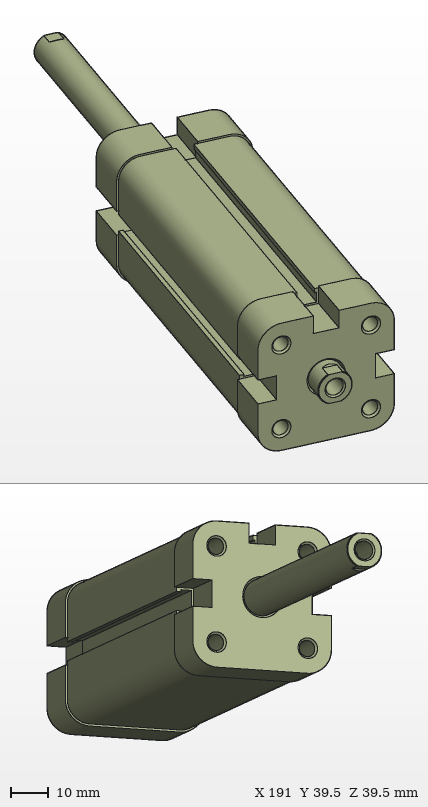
import cadquery as cq
import math

LENGTH = 191.0
ROD_FRONT_REACH = 76.2
CAP_LENGTH = 13.8
TUBE_LENGTH = 81.2

FRONT_CAP_X = ROD_FRONT_REACH
TUBE_X = FRONT_CAP_X + CAP_LENGTH
REAR_CAP_X = TUBE_X + TUBE_LENGTH
REAR_CAP_END_X = REAR_CAP_X + CAP_LENGTH

CAP_SIZE = 39.5
CAP_CORNER_RADIUS = 6.9
TUBE_INSET = 0.5
TUBE_SIZE = CAP_SIZE - 2 * TUBE_INSET
TUBE_CORNER_RADIUS = CAP_CORNER_RADIUS - TUBE_INSET

SCREW_HOLE_DIAMETER = 4.4
SCREW_HOLE_COUNTERSINK = 0.5
SCREW_HOLE_OFFSET = 13.0

CAP_SLOT_WIDTH = 7.5
CAP_SLOT_FLOOR = 14.3
TUBE_SLOT_WIDTH = 6.3
TUBE_SLOT_FLOOR = 14.9
TUBE_SLOT_MOUTH = 5.2
TUBE_SLOT_LIP = 1.3
SLOT_ANGLES = (-90, 0, 90)

ROD_DIAMETER = 10.0
ROD_RADIUS = ROD_DIAMETER / 2
FLAT_ACROSS = 9.0
FLAT_LENGTH = 3.8
FLAT_RUNOUT = (ROD_DIAMETER - FLAT_ACROSS) / 2
ROD_CHAMFER = 0.2
THREAD_HOLE_DIAMETER = 5.0
THREAD_HOLE_COUNTERSINK = 0.48
THREAD_HOLE_DEPTH = 11.5
DRILL_POINT_ANGLE = 118
BORE_COUNTERSINK = 0.5


def profile_bar(size, corner_radius, x_start, length):
    """Round-cornered square bar along X with its rod bore and four screw holes."""
    bar = cq.Workplane("YZ", origin=(x_start, 0, 0)).rect(size, size).extrude(length)
    bar = bar.edges("|X").fillet(corner_radius)
    bore = cq.Workplane("YZ", origin=(x_start, 0, 0)).circle(ROD_RADIUS).extrude(length)
    screw_holes = (
        cq.Workplane("YZ", origin=(x_start, 0, 0))
        .rect(2 * SCREW_HOLE_OFFSET, 2 * SCREW_HOLE_OFFSET, forConstruction=True)
        .vertices()
        .circle(SCREW_HOLE_DIAMETER / 2)
        .extrude(length)
    )
    return bar.cut(bore).cut(screw_holes)


def groove(width, z_bottom, z_top, x_start, length):
    """Straight-sided cutter along X, centred above the rod axis."""
    base = cq.Workplane("XY", origin=(x_start, 0, z_bottom))
    return base.box(length, width, z_top - z_bottom, centered=(False, True, False))


def cut_slots(bar, slot):
    """Cut the slot into the top and both sides of a bar."""
    for angle in SLOT_ANGLES:
        bar = bar.cut(slot.rotate((0, 0, 0), (1, 0, 0), angle))
    return bar


def countersink(hole_radius, depth, face_x, inward, y=0, z=0):
    """45 degree cone widening a hole where it opens on the face at face_x."""
    cone = cq.Solid.makeCone(
        hole_radius + depth, hole_radius, depth, cq.Vector(face_x, y, z), cq.Vector(inward, 0, 0)
    )
    return cq.Workplane(cone)


def make_cap(x_start, outer_x, inward):
    """End cap whose bore and screw holes are countersunk on the outer face at outer_x."""
    cap = profile_bar(CAP_SIZE, CAP_CORNER_RADIUS, x_start, CAP_LENGTH)
    cap = cut_slots(cap, groove(CAP_SLOT_WIDTH, CAP_SLOT_FLOOR, CAP_SIZE / 2, x_start, CAP_LENGTH))
    cap = cap.cut(countersink(ROD_RADIUS, BORE_COUNTERSINK, outer_x, inward))
    for y in (-SCREW_HOLE_OFFSET, SCREW_HOLE_OFFSET):
        for z in (-SCREW_HOLE_OFFSET, SCREW_HOLE_OFFSET):
            cap = cap.cut(
                countersink(SCREW_HOLE_DIAMETER / 2, SCREW_HOLE_COUNTERSINK, outer_x, inward, y, z)
            )
    return cap


def make_tube():
    """Profile tube with lipped slots."""
    tube = profile_bar(TUBE_SIZE, TUBE_CORNER_RADIUS, TUBE_X, TUBE_LENGTH)
    lip_underside = TUBE_SIZE / 2 - TUBE_SLOT_LIP
    channel = groove(TUBE_SLOT_WIDTH, TUBE_SLOT_FLOOR, lip_underside, TUBE_X, TUBE_LENGTH)
    mouth = groove(TUBE_SLOT_MOUTH, TUBE_SLOT_FLOOR, TUBE_SIZE / 2, TUBE_X, TUBE_LENGTH)
    return cut_slots(tube, channel.union(mouth))


def thread_hole(end_x, inward):
    """Countersunk blind hole with a conical drill point, entering the rod at end_x."""
    radius = THREAD_HOLE_DIAMETER / 2
    point_depth = radius / math.tan(math.radians(DRILL_POINT_ANGLE / 2))
    direction = cq.Vector(inward, 0, 0)
    bore = cq.Solid.makeCylinder(radius, THREAD_HOLE_DEPTH, cq.Vector(end_x, 0, 0), direction)
    bottom = cq.Vector(end_x + inward * THREAD_HOLE_DEPTH, 0, 0)
    point = cq.Solid.makeCone(radius, 0, point_depth, bottom, direction)
    mouth = countersink(radius, THREAD_HOLE_COUNTERSINK, end_x, inward)
    return cq.Workplane(bore).union(cq.Workplane(point)).union(mouth)


def flat_cutter():
    """Cutter for the upper flat at the front end, ending in a 45 degree runout."""
    flat_height = FLAT_ACROSS / 2
    return (
        cq.Workplane("XZ")
        .moveTo(0, flat_height)
        .lineTo(FLAT_LENGTH, flat_height)
        .lineTo(FLAT_LENGTH + FLAT_RUNOUT, ROD_RADIUS)
        .lineTo(0, ROD_RADIUS)
        .close()
        .extrude(ROD_RADIUS, both=True)
    )


def make_rod():
    """Through rod with chamfered ends, and wrench flats and a threaded hole at each end."""
    rod = cq.Workplane("YZ").circle(ROD_RADIUS).extrude(LENGTH).edges().chamfer(ROD_CHAMFER)
    flat = flat_cutter()
    for cutter in (flat, flat.mirror("XY")):
        rear_cutter = cutter.mirror("YZ").translate((LENGTH, 0, 0))
        rod = rod.cut(cutter).cut(rear_cutter)
    return rod.cut(thread_hole(0, 1)).cut(thread_hole(LENGTH, -1))


front_cap = make_cap(FRONT_CAP_X, FRONT_CAP_X, 1)
rear_cap = make_cap(REAR_CAP_X, REAR_CAP_END_X, -1)
tube = make_tube()
rod = make_rod()

result = cq.Compound.makeCompound([front_cap.val(), rear_cap.val(), tube.val(), rod.val()])